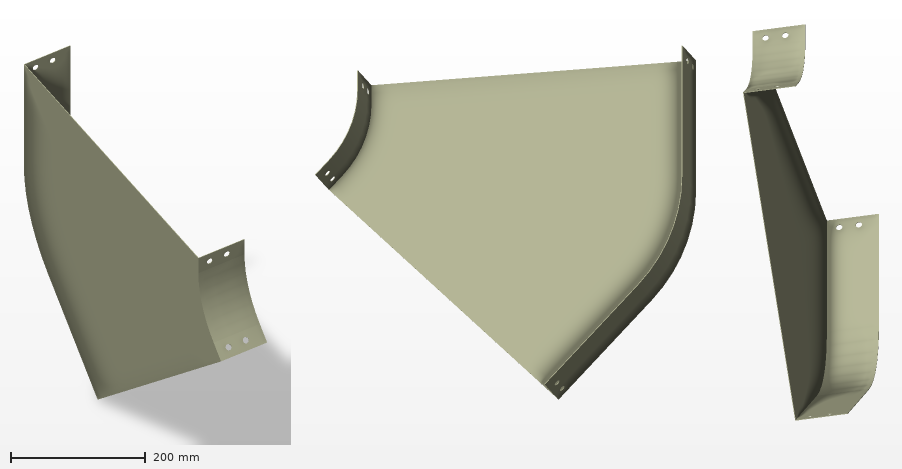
import cadquery as cq
import math

OVERALL_LENGTH = 565.0
DEPTH = 80.0
SHEET = 1.0
BEND_ANGLE = 45.0

INNER_RADIUS = 150.0
INNER_STRAIGHT = 30.0
OUTER_RADIUS = 231.5

HOLE_DIAMETER = 9.5
HOLE_END_DISTANCE = 15.0
FIRST_HOLE_DEPTH = 20.0
HOLE_PITCH = 30.0

angle = math.radians(BEND_ANGLE)
half_tan = math.tan(angle / 2)

inner_tangent = INNER_STRAIGHT + INNER_RADIUS * half_tan
width = OVERALL_LENGTH - inner_tangent * math.sin(angle)
outer_tangent = inner_tangent + width * half_tan
outer_straight = outer_tangent - OUTER_RADIUS * half_tan


def side_points(x, straight, radius):
    """Top end, arc start, arc middle, arc end and lower end of one curved side."""
    def on_arc(turn):
        return (x + radius * (1 - math.cos(turn)), -straight - radius * math.sin(turn))

    arc_end = on_arc(angle)
    lower_end = (arc_end[0] + straight * math.sin(angle), arc_end[1] - straight * math.cos(angle))
    return (x, 0), (x, -straight), on_arc(angle / 2), arc_end, lower_end


def extrude_band(left, right, depth):
    """Extrude the area between two curved sides from the plate's outer face toward +Y."""
    left_top, left_start, left_middle, left_end, left_bottom = left
    right_top, right_start, right_middle, right_end, right_bottom = right
    return (
        cq.Workplane("XZ")
        .moveTo(*left_top)
        .lineTo(*left_start)
        .threePointArc(left_middle, left_end)
        .lineTo(*left_bottom)
        .lineTo(*right_bottom)
        .lineTo(*right_end)
        .threePointArc(right_middle, right_start)
        .lineTo(*right_top)
        .close()
        .extrude(-depth)
    )


def end_holes(side):
    """Pairs of hole cutters square to the wall at both ends of a side."""
    top, lower = side[0], side[-1]
    ends = (
        (top[0], top[1] - HOLE_END_DISTANCE, 0.0),
        (
            lower[0] - HOLE_END_DISTANCE * math.sin(angle),
            lower[1] + HOLE_END_DISTANCE * math.cos(angle),
            angle,
        ),
    )
    cutter_length = 4 * SHEET
    cutters = cq.Workplane("XY")
    for x, z, turn in ends:
        normal = cq.Vector(math.cos(turn), 0, math.sin(turn))
        for row in range(2):
            center = cq.Vector(x, FIRST_HOLE_DEPTH + row * HOLE_PITCH, z)
            start = center - normal * (cutter_length / 2)
            cutters.add(cq.Solid.makeCylinder(HOLE_DIAMETER / 2, cutter_length, start, normal))
    return cutters.combine()


outer_side = side_points(0, outer_straight, OUTER_RADIUS)
outer_wall_inside = side_points(SHEET, outer_straight, OUTER_RADIUS - SHEET)
inner_side = side_points(width, INNER_STRAIGHT, INNER_RADIUS)
inner_wall_inside = side_points(width - SHEET, INNER_STRAIGHT, INNER_RADIUS + SHEET)

plate = extrude_band(outer_side, inner_side, SHEET)
outer_wall = extrude_band(outer_side, outer_wall_inside, DEPTH)
inner_wall = extrude_band(inner_wall_inside, inner_side, DEPTH)

result = plate.union(outer_wall).union(inner_wall)
for side in (outer_side, inner_side):
    result = result.cut(end_holes(side))